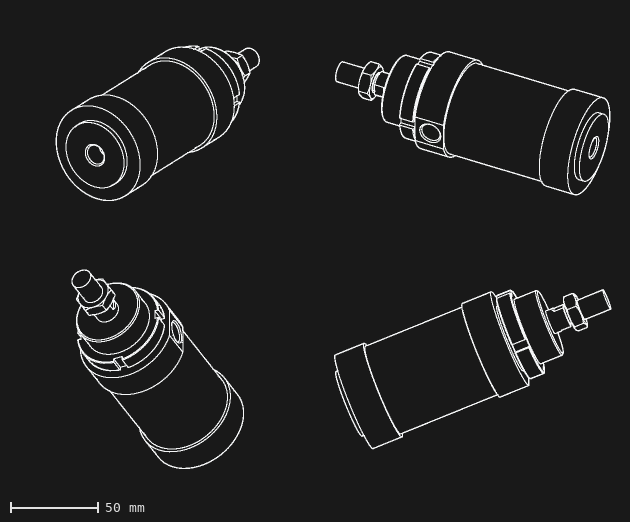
import cadquery as cq
import math

TOTAL_LENGTH = 160.0

CAP_DIAMETER = 58.0
TUBE_DIAMETER = 54.2
COLLAR_DIAMETER = 40.0
SPIGOT_LENGTH = 3.2
CAP_LENGTH = 18.0
TUBE_LENGTH = 61.0
COLLAR_LENGTH = 25.0
COLLAR_CHAMFER = 0.8

REAR_CAP_START = SPIGOT_LENGTH
TUBE_START = REAR_CAP_START + CAP_LENGTH
HEAD_START = TUBE_START + TUBE_LENGTH
COLLAR_START = HEAD_START + CAP_LENGTH
COLLAR_END = COLLAR_START + COLLAR_LENGTH

PORT_DIAMETER = 11.5
PORT_MOUTH_DIAMETER = 13.3
PORT_CHAMFER = (PORT_MOUTH_DIAMETER - PORT_DIAMETER) / 2
PORT_DEPTH = 12.8
DRILL_POINT_ANGLE = 118.0
PORT_FLAT_WIDTH = 17.8
PORT_FLAT_X = -math.sqrt((CAP_DIAMETER / 2) ** 2 - (PORT_FLAT_WIDTH / 2) ** 2)
SIDE_PORT_Y = 90.4

ROD_DIAMETER = 14.0
ROD_FLATS_WIDTH = 12.0
ROD_FLATS_LENGTH = 5.6
NECK_DIAMETER = 10.0
NECK_LENGTH = 1.6
THREAD_DIAMETER = 12.0
THREAD_LENGTH = 23.0
NECK_END = TOTAL_LENGTH - THREAD_LENGTH
SHANK_END = NECK_END - NECK_LENGTH

NUT_SIDES = 6
NUT_FLATS_WIDTH = 19.0
NUT_THICKNESS = 7.0
NUT_CORNER_WIDTH = NUT_FLATS_WIDTH / math.cos(math.pi / NUT_SIDES)
NUT_CHAMFER_ANGLE = 30.0

RING_DIAMETER = 51.5
RING_THICKNESS = 9.0
RING_CHAMFER = 0.5
RING_GAP = 2.0
RING_SLOT_COUNT = 4
RING_SLOT_WIDTH = 5.3
RING_SLOT_DEPTH = 2.4


def cylinder(diameter, start, length):
    """Solid cylinder on the Y axis from y = start towards +Y."""
    plane = cq.Plane(origin=(0, start, 0), xDir=(1, 0, 0), normal=(0, 1, 0))
    return cq.Workplane(plane).circle(diameter / 2).extrude(length)


def revolve_about_y(points):
    """Solid of revolution from (radius, y) points."""
    return cq.Workplane("XY").polyline(points).close().revolve(360, (0, 0, 0), (0, 1, 0))


def rear_port():
    """Chamfered blind hole along +Y with a conical drill point."""
    radius = PORT_DIAMETER / 2
    mouth_radius = PORT_MOUTH_DIAMETER / 2
    point_length = radius / math.tan(math.radians(DRILL_POINT_ANGLE / 2))
    return revolve_about_y([
        (0, 0),
        (mouth_radius, 0),
        (radius, PORT_CHAMFER),
        (radius, PORT_DEPTH),
        (0, PORT_DEPTH + point_length),
    ])


def side_port():
    """Chamfered flat-bottomed hole that enters the head flat along +X."""
    radius = PORT_DIAMETER / 2
    mouth_radius = PORT_MOUTH_DIAMETER / 2
    profile = [
        (0, 0),
        (0, mouth_radius),
        (PORT_CHAMFER, radius),
        (PORT_DEPTH, radius),
        (PORT_DEPTH, 0),
    ]
    hole = cq.Workplane("XY").polyline(profile).close().revolve(360, (0, 0, 0), (1, 0, 0))
    return hole.translate((PORT_FLAT_X, SIDE_PORT_Y, 0))


def head_flat():
    """Material removed from the -X side of the head to seat the port."""
    outer_x = -CAP_DIAMETER / 2
    depth = PORT_FLAT_X - outer_x
    block = cq.Workplane("XY").box(depth, CAP_LENGTH, CAP_DIAMETER, centered=(False, False, True))
    return block.translate((outer_x, HEAD_START, 0))


def make_housing():
    """Tube with its rear cap, front head and collar, and both air ports."""
    collar = cylinder(COLLAR_DIAMETER, COLLAR_START, COLLAR_LENGTH).faces(">Y").chamfer(COLLAR_CHAMFER)
    return (
        cylinder(COLLAR_DIAMETER, 0, SPIGOT_LENGTH)
        .union(cylinder(CAP_DIAMETER, REAR_CAP_START, CAP_LENGTH))
        .union(cylinder(TUBE_DIAMETER, TUBE_START, TUBE_LENGTH))
        .union(cylinder(CAP_DIAMETER, HEAD_START, CAP_LENGTH))
        .union(collar)
        .cut(head_flat())
        .cut(rear_port())
        .cut(side_port())
    )


def wrench_flat():
    """Material removed for the +X wrench flat, which runs out towards the rear at 45 degrees."""
    flat_x = ROD_FLATS_WIDTH / 2
    outer_x = ROD_DIAMETER / 2
    flat_end = SHANK_END - ROD_FLATS_LENGTH
    ramp_end = flat_end - (outer_x - flat_x)
    profile = [
        (flat_x, SHANK_END),
        (flat_x, flat_end),
        (outer_x, ramp_end),
        (outer_x, SHANK_END),
    ]
    return cq.Workplane("XY").polyline(profile).close().extrude(ROD_DIAMETER / 2, both=True)


def make_rod():
    """Piston rod that rises from the front face of the collar."""
    shank = cylinder(ROD_DIAMETER, COLLAR_END, SHANK_END - COLLAR_END)
    flat = wrench_flat()
    return (
        shank
        .cut(flat)
        .cut(flat.mirror("YZ"))
        .union(cylinder(NECK_DIAMETER, SHANK_END, NECK_LENGTH))
        .union(cylinder(THREAD_DIAMETER, NECK_END, THREAD_LENGTH))
    )


def make_rod_nut():
    """Hexagon with corners on +X and -X, its corners bevelled at both ends."""
    plane = cq.Plane(origin=(0, NECK_END, 0), xDir=(1, 0, 0), normal=(0, 1, 0))
    hexagon = cq.Workplane(plane).polygon(NUT_SIDES, NUT_CORNER_WIDTH).extrude(NUT_THICKNESS)
    face_radius = NUT_FLATS_WIDTH / 2
    corner_radius = NUT_CORNER_WIDTH / 2
    bevel = (corner_radius - face_radius) * math.tan(math.radians(NUT_CHAMFER_ANGLE))
    front = NECK_END + NUT_THICKNESS
    envelope = revolve_about_y([
        (0, NECK_END),
        (face_radius, NECK_END),
        (corner_radius, NECK_END + bevel),
        (corner_radius, front - bevel),
        (face_radius, front),
        (0, front),
    ])
    return hexagon.intersect(envelope).cut(cylinder(THREAD_DIAMETER, NECK_END, NUT_THICKNESS))


def make_ring_nut():
    """Ring around the collar with equally spaced wrench slots in its rim."""
    start = COLLAR_START + RING_GAP
    ring = cylinder(RING_DIAMETER, start, RING_THICKNESS).faces("<Y or >Y").chamfer(RING_CHAMFER)
    ring = ring.cut(cylinder(COLLAR_DIAMETER, start, RING_THICKNESS))
    slot = cq.Workplane("XY").box(
        RING_SLOT_DEPTH, RING_THICKNESS, RING_SLOT_WIDTH, centered=(False, False, True)
    ).translate((RING_DIAMETER / 2 - RING_SLOT_DEPTH, start, 0))
    for index in range(RING_SLOT_COUNT):
        ring = ring.cut(slot.rotate((0, 0, 0), (0, 1, 0), index * 360 / RING_SLOT_COUNT))
    return ring


housing = make_housing()
rod = make_rod()
rod_nut = make_rod_nut()
ring_nut = make_ring_nut()

result = cq.Compound.makeCompound([housing.val(), rod.val(), rod_nut.val(), ring_nut.val()])